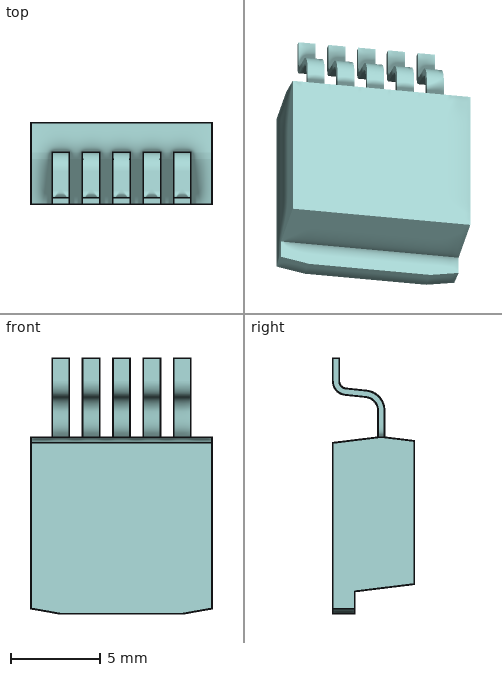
import cadquery as cq
import math

width = 10.17
depth = 4.58
height = 14.35

body_bottom = 1.25
body_top = 9.92
draft = math.tan(math.radians(7))

tab_thickness = 1.25
tab_chamfer_width = 1.61
tab_chamfer_height = 0.29

lead_count = 5
lead_pitch = 1.71
lead_width = 0.98
lead_thickness = 0.37
lead_root_front = 2.54
lead_root_back = lead_root_front + lead_thickness
lead_embed = 0.72
tip_bend_start = 13.06
tip_bend_radius = 0.59
root_bend_radius = 0.95
lead_slope = math.radians(6)


def make_body():
    """Body with drafted ends and a narrow flat where the leads emerge."""
    front_top = body_top - lead_root_front * draft
    back_top = body_top - (depth - lead_root_back) * draft
    back_bottom = body_bottom + (depth - tab_thickness) * draft
    profile = [
        (0, body_bottom),
        (tab_thickness, body_bottom),
        (depth, back_bottom),
        (depth, back_top),
        (lead_root_back, body_top),
        (lead_root_front, body_top),
        (0, front_top),
    ]
    return cq.Workplane("YZ").polyline(profile).close().extrude(width / 2, both=True)


def make_tab():
    """Full-width plate with its two lower corners cut at a shallow angle."""
    half_width = width / 2
    half_bottom = half_width - tab_chamfer_width
    outline = [
        (-half_width, body_bottom),
        (-half_width, tab_chamfer_height),
        (-half_bottom, 0),
        (half_bottom, 0),
        (half_width, tab_chamfer_height),
        (half_width, body_bottom),
    ]
    return cq.Workplane("XZ").polyline(outline).close().extrude(-tab_thickness)


def make_lead(x):
    """Strip swept up from the body, bent forward and then up to its tip."""
    root_y = (lead_root_front + lead_root_back) / 2
    tip_y = lead_thickness / 2
    sine = math.sin(lead_slope)
    cosine = math.cos(lead_slope)

    slope_back_y = root_y - root_bend_radius * (1 - sine)
    slope_front_y = tip_y + tip_bend_radius * (1 - sine)
    slope_front_z = tip_bend_start - tip_bend_radius * cosine
    slope_back_z = slope_front_z - (slope_back_y - slope_front_y) * math.tan(lead_slope)
    root_bend_start = slope_back_z - root_bend_radius * cosine
    root_z = body_top - lead_embed

    path = (
        cq.Workplane("YZ", origin=(x, 0, 0))
        .moveTo(root_y, root_z)
        .lineTo(root_y, root_bend_start)
        .tangentArcPoint((slope_back_y, slope_back_z), relative=False)
        .lineTo(slope_front_y, slope_front_z)
        .tangentArcPoint((tip_y, tip_bend_start), relative=False)
        .lineTo(tip_y, height)
    )
    section = cq.Workplane("XY", origin=(x, root_y, root_z)).rect(lead_width, lead_thickness)
    return section.sweep(path)


result = make_body().union(make_tab())
for index in range(lead_count):
    lead_x = (index - (lead_count - 1) / 2) * lead_pitch
    result = result.union(make_lead(lead_x))